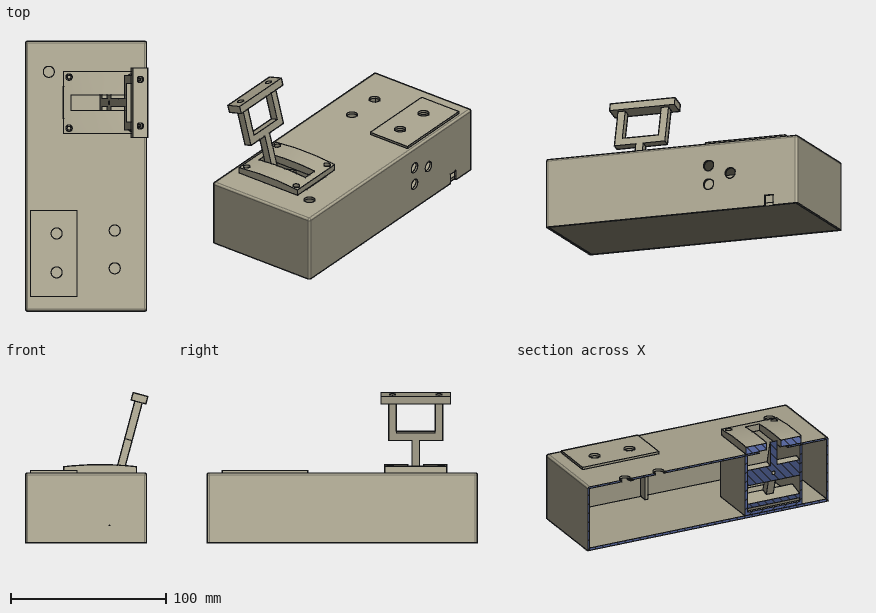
import cadquery as cq

housing_width = 78.0
housing_length = 174.0
housing_height = 45.0
wall = 1.5
inner_width = housing_width - 2 * wall
inner_length = housing_length - 2 * wall
ceiling_z = housing_height - wall
edge_fillet = 1.4
top_hole_diameter = 7.1
free_top_holes = [(-24.0, 67.2), (18.5, -35.0), (18.5, -59.3)]
side_hole_diameter = 7.0
side_holes = [(-25.5, 30.3), (-25.5, 18.0), (-40.5, 24.0)]
notch_width = 6.0
notch_height = 7.0
notch_y = -67.3

rib_depth = 6.1
rib_thickness = 2.1
rib_front_y = -19.1

floor_thickness = 2.1
inner_height = ceiling_z - floor_thickness

label_width = 30.0
label_length = 55.2
label_thickness = 1.5
label_x = -20.9
label_y = -49.8
label_hole_x = -19.0
label_hole_ys = [-36.9, -62.0]
label_holes = [(label_hole_x, y) for y in label_hole_ys]

bezel_width = 47.0
bezel_length = 40.0
bezel_end_height = 4.0
bezel_middle_height = 5.4
bezel_x = 9.0
lever_y = 47.3
slot_length = 37.2
slot_width = 10.1
opening_margin = 5.2
bezel_hole_spacing_x = 40.0
bezel_hole_spacing_y = 32.9
bezel_hole_diameter = 2.5
bezel_counterbore_diameter = 4.2
bezel_seat_height = 2.1

lean_angle = 15.0
foot_x = 11.3
foot_z = 7.0
bar_top_distance = 91.7
lever_thickness = 5.0
frame_width = 35.0
frame_height = 25.0
crossbar_width = 37.5
crossbar_depth = 11.3
lower_crossbar_height = 5.0
upper_crossbar_bottom = 17.2
upper_crossbar_height = 10.8
lever_hole_diameter = 2.1

bar_length = 44.9
bar_width = 10.0
bar_thickness = lever_thickness
bar_hole_diameter = 2.0
bar_counterbore_diameter = 4.0
bar_counterbore_depth = 2.5

bracket_length = 50.5
bracket_thickness = 2.1


def make_housing():
    shell = (
        cq.Workplane("XY")
        .box(housing_width, housing_length, housing_height, centered=(True, True, False))
        .edges("|Z or >Z")
        .fillet(edge_fillet)
    )
    cavity = cq.Workplane("XY").box(
        inner_width,
        inner_length,
        ceiling_z,
        centered=(True, True, False),
    )
    top_holes = (
        cq.Workplane("XY")
        .pushPoints(free_top_holes + label_holes)
        .circle(top_hole_diameter / 2)
        .extrude(housing_height)
    )
    side_hole_tools = (
        cq.Workplane("YZ", origin=(-housing_width / 2, 0, 0))
        .pushPoints(side_holes)
        .circle(side_hole_diameter / 2)
        .extrude(2 * wall)
    )
    notch = cq.Workplane("XY", origin=(-housing_width / 2, notch_y, 0)).box(
        2 * wall, notch_width, notch_height, centered=(True, True, False)
    )
    lever_opening = cq.Workplane("XY", origin=(bezel_x, lever_y, 0)).box(
        slot_length + 2 * opening_margin,
        slot_width + 2 * opening_margin,
        housing_height,
        centered=(True, True, False),
    )
    rib = cq.Workplane("XY", origin=(-inner_width / 2, rib_front_y, floor_thickness)).box(
        rib_depth, rib_thickness, inner_height, centered=False
    )
    hollow = shell.cut(cavity).union(rib)
    return hollow.cut(top_holes).cut(side_hole_tools).cut(notch).cut(lever_opening)


def make_floor():
    return cq.Workplane("XY").box(
        inner_width,
        inner_length,
        floor_thickness,
        centered=(True, True, False),
    )


def make_label():
    plate = cq.Workplane("XY", origin=(label_x, label_y, housing_height)).box(
        label_width, label_length, label_thickness, centered=(True, True, False)
    )
    holes = (
        cq.Workplane("XY", origin=(0, 0, housing_height))
        .pushPoints(label_holes)
        .circle(top_hole_diameter / 2)
        .extrude(label_thickness)
    )
    return plate.cut(holes)


def make_bezel():
    half_width = bezel_width / 2
    body = (
        cq.Workplane("XZ", origin=(bezel_x, lever_y + bezel_length / 2, housing_height))
        .moveTo(-half_width, 0)
        .lineTo(-half_width, bezel_end_height)
        .threePointArc((0, bezel_middle_height), (half_width, bezel_end_height))
        .lineTo(half_width, 0)
        .close()
        .extrude(bezel_length)
    )
    base = cq.Workplane("XY", origin=(bezel_x, lever_y, housing_height))
    slot = base.rect(slot_length, slot_width).extrude(bezel_middle_height)
    holes = (
        base.rect(bezel_hole_spacing_x, bezel_hole_spacing_y, forConstruction=True)
        .vertices()
        .circle(bezel_hole_diameter / 2)
        .extrude(bezel_middle_height)
    )
    counterbores = (
        base.workplane(offset=bezel_seat_height)
        .rect(bezel_hole_spacing_x, bezel_hole_spacing_y, forConstruction=True)
        .vertices()
        .circle(bezel_counterbore_diameter / 2)
        .extrude(bezel_middle_height)
    )
    return body.cut(slot).cut(holes).cut(counterbores)


def lean(body):
    """Tilt a body built upright on the origin and move it to the lever's foot."""
    return body.rotate((0, 0, 0), (0, 1, 0), lean_angle).translate((foot_x, lever_y, foot_z))


def make_crossbar(bottom, height):
    """A block across the lever, flush with the shaft's -X face."""
    return cq.Workplane("XY", origin=(-lever_thickness / 2, 0, bottom)).box(
        crossbar_depth, crossbar_width, height, centered=(False, True, False)
    )


def make_lever():
    frame_top = bar_top_distance - bar_thickness
    frame_bottom = frame_top - frame_height
    front = -lever_thickness / 2
    shaft = cq.Workplane("XY").box(
        lever_thickness, lever_thickness, frame_bottom, centered=(True, True, False)
    )
    frame = cq.Workplane("XY", origin=(0, 0, frame_bottom)).box(
        lever_thickness, frame_width, frame_height, centered=(True, True, False)
    )
    window = cq.Workplane("XY", origin=(0, 0, frame_bottom + lever_thickness)).box(
        lever_thickness,
        frame_width - 2 * lever_thickness,
        frame_height,
        centered=(True, True, False),
    )
    lower_crossbar = make_crossbar(0, lower_crossbar_height)
    upper_crossbar = make_crossbar(upper_crossbar_bottom, upper_crossbar_height)
    hole = (
        cq.Workplane("YZ", origin=(front, 0, upper_crossbar_bottom + upper_crossbar_height / 2))
        .circle(lever_hole_diameter / 2)
        .extrude(crossbar_depth)
    )
    upright = shaft.union(frame.cut(window)).union(lower_crossbar).union(upper_crossbar).cut(hole)
    return lean(upright)


def make_bracket():
    base = cq.Workplane("XY", origin=(foot_x, lever_y, floor_thickness))
    block = base.box(
        bracket_length, crossbar_width + 2 * bracket_thickness, inner_height, centered=(True, True, False)
    )
    channel = base.workplane(offset=bracket_thickness).box(
        bracket_length, crossbar_width, inner_height, centered=(True, True, False)
    )
    return block.cut(channel)


def make_grip_bar():
    hole_spacing = frame_width - lever_thickness
    bar = (
        cq.Workplane("XY", origin=(0, 0, bar_top_distance - bar_thickness))
        .box(bar_width, bar_length, bar_thickness, centered=(True, True, False))
        .faces(">Z")
        .workplane()
        .pushPoints([(0, -hole_spacing / 2), (0, hole_spacing / 2)])
        .cboreHole(bar_hole_diameter, bar_counterbore_diameter, bar_counterbore_depth)
    )
    return lean(bar)


housing = make_housing()
floor = make_floor()
label = make_label()
bezel = make_bezel()
lever = make_lever()
bracket = make_bracket()
grip_bar = make_grip_bar()

result = cq.Compound.makeCompound(
    [
        housing.val(),
        floor.val(),
        label.val(),
        bezel.val(),
        bracket.val(),
        lever.val(),
        grip_bar.val(),
    ]
)